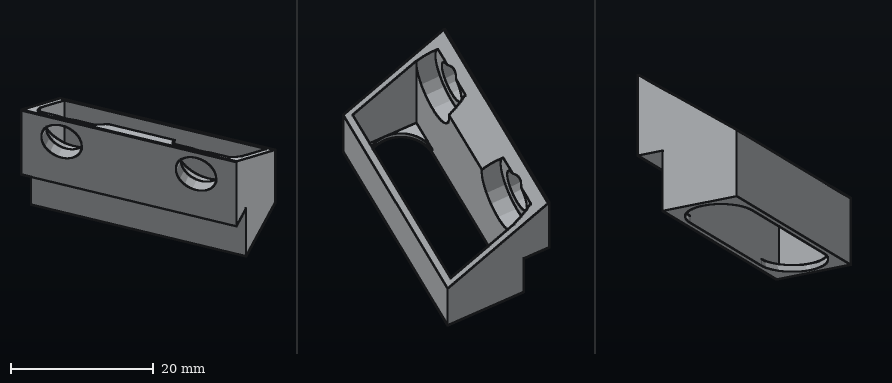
import cadquery as cq
import math

length = 32.0
depth = 16.0
height = 21.0
front_depth = 4.0
overhang_height = 9.0
slope_angle = 35.0
flat_width = 0.2

wall = 1.0
cavity_length = length - 2 * wall
cavity_depth = 10.0
floor_height = wall

hole_diameter = 6.0
counterbore_diameter = 10.0
seat_thickness = 2.0
hole_spacing = 20.0
hole_height = 17.0

front_y = -depth / 2
back_y = depth / 2
cavity_back_y = back_y - wall
cavity_center_y = cavity_back_y - cavity_depth / 2
step_y = front_y + front_depth
back_height = height - (depth - flat_width) * math.tan(math.radians(slope_angle))


def make_body():
    """Stepped side profile with a sloping top, extruded along X."""
    profile = [
        (front_y, overhang_height),
        (step_y, overhang_height),
        (step_y, 0),
        (back_y, 0),
        (back_y, back_height),
        (front_y + flat_width, height),
        (front_y, height),
    ]
    return cq.Workplane("YZ").polyline(profile).close().extrude(length / 2, both=True)


def make_cavity():
    """Rectangular pocket above the floor and a round-ended opening through it."""
    base = cq.Workplane("XY").center(0, cavity_center_y)
    pocket = (
        base.workplane(offset=floor_height)
        .rect(cavity_length, cavity_depth)
        .extrude(height)
    )
    opening = base.slot2D(cavity_length, cavity_depth).extrude(height)
    return pocket.union(opening)


def cylinder_along_y(x, diameter, start_y, end_y):
    """Cylinder at screw height running from start_y back to end_y."""
    return (
        cq.Workplane("XZ", origin=(x, start_y, hole_height))
        .circle(diameter / 2)
        .extrude(start_y - end_y)
    )


result = make_body().cut(make_cavity())

for x in (-hole_spacing / 2, hole_spacing / 2):
    result = result.cut(cylinder_along_y(x, hole_diameter, front_y, cavity_center_y))
    result = result.cut(
        cylinder_along_y(x, counterbore_diameter, front_y + seat_thickness, cavity_center_y)
    )